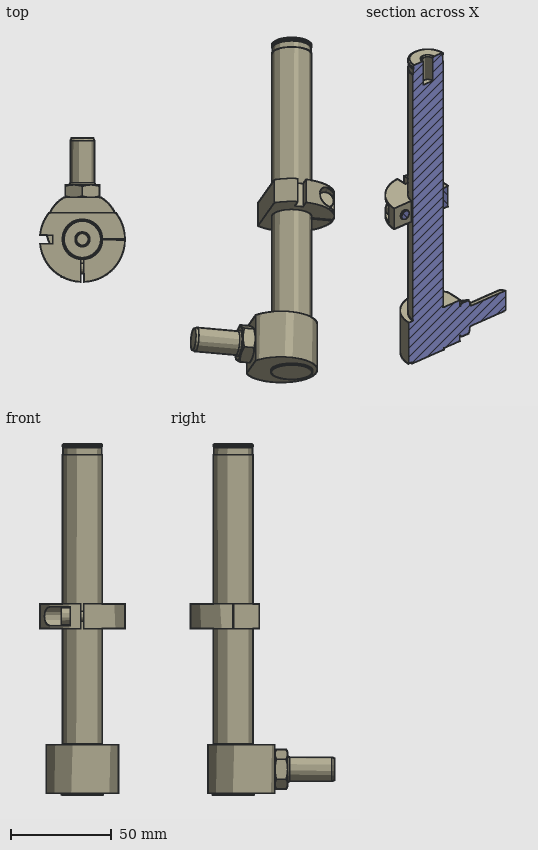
import cadquery as cq
import math

TOTAL_HEIGHT = 174.9
SHAFT_DIAMETER = 20.0
SHAFT_TOP_CHAMFER_HEIGHT = 0.7
SHAFT_TOP_CHAMFER_WIDTH = 0.9
SHAFT_NECK_DIAMETER = 19.6
SHAFT_NECK_HEIGHT = 0.5
GROOVE_DIAMETER = 18.9
GROOVE_TOP = TOTAL_HEIGHT - 1.4
GROOVE_BOTTOM = TOTAL_HEIGHT - 2.1
BAND_DIAMETER = 19.5
BAND_BOTTOM = TOTAL_HEIGHT - 5.5
TOP_HOLE_DIAMETER = 6.0
TOP_HOLE_MOUTH_DIAMETER = 7.3
TOP_HOLE_MOUTH_ANGLE = 90
TOP_HOLE_DEPTH = 14.0

FOOT_DIAMETER = 36.0
FOOT_CENTER_Y = 5.5
FOOT_FLAT_Y = 20.8
PAD_DIAMETER = 21.0
PAD_HEIGHT = 0.9
PAD_CHAMFER = 0.3
FOOT_HEIGHT = 24.3
FOOT_TOP = PAD_HEIGHT + FOOT_HEIGHT

COLLAR_DIAMETER = 42.5
COLLAR_HEIGHT = 12.2
COLLAR_BOTTOM = 82.9
COLLAR_MIDDLE = COLLAR_BOTTOM + COLLAR_HEIGHT / 2
COLLAR_FLAT_Y = 13.1
CLAMP_GAP = 1.5
HINGE_SLIT = 0.5
NOTCH_WIDTH = 4.2
NOTCH_FLOOR_X = -14.9
SCREW_Y = -14.5
SCREW_DIAMETER = 5.0
SCREW_HEAD_DIAMETER = 8.5
SCREW_HEAD_HEIGHT = 4.5
SCREW_SEAT_X = -6.0
SCREW_TIP_X = 6.0
SCREW_POCKET_WIDTH = 9.5

STUD_DIAMETER = 12.0
STUD_CHAMFER = 1.4
STUD_CHAMFER_DEPTH = 0.5
TOTAL_DEPTH = 71.7
STUD_END_Y = TOTAL_DEPTH - COLLAR_DIAMETER / 2
STUD_Z = 13.0
HEX_ACROSS_FLATS = 17.1
HEX_CORNERS = HEX_ACROSS_FLATS / math.cos(math.pi / 6)
HEX_LENGTH = 6.3
HEX_END_Y = FOOT_FLAT_Y + HEX_LENGTH
HEX_BEVEL_LENGTH = 0.7
HEX_BEVEL_DEPTH = 1.4
STUD_ROOT_LENGTH = 1.0
STUD_ROOT_FLARE = 0.5


def cylinder(diameter, bottom, top):
    """Vertical cylinder on the shaft axis."""
    return cq.Workplane("XY").workplane(offset=bottom).circle(diameter / 2).extrude(top - bottom)


def ring_cut(inner_diameter, bottom, top):
    """Ring that turns the shaft down to inner_diameter between two heights."""
    return cylinder(2 * SHAFT_DIAMETER, bottom, top).cut(cylinder(inner_diameter, bottom, top))


def y_plane(y):
    """Plane facing +Y, centred on the stud axis."""
    return cq.Workplane(cq.Plane((0, y, STUD_Z), xDir=(-1, 0, 0), normal=(0, 1, 0)))


def x_cylinder(diameter, start, end):
    """Cylinder along X on the clamp screw axis."""
    plane = cq.Plane((start, SCREW_Y, COLLAR_MIDDLE), xDir=(0, 1, 0), normal=(1, 0, 0))
    return cq.Workplane(plane).circle(diameter / 2).extrude(end - start)


def block(x_min, x_max, y_min, y_max, z_min, z_max):
    """Box given by its limits."""
    size = (x_max - x_min, y_max - y_min, z_max - z_min)
    return cq.Workplane("XY").box(*size, centered=False).translate((x_min, y_min, z_min))


def make_shaft():
    """Shaft with its top groove, reduced band, neck and end hole."""
    shaft = cylinder(SHAFT_DIAMETER, FOOT_TOP, TOTAL_HEIGHT)
    shaft = shaft.faces(">Z").chamfer(SHAFT_TOP_CHAMFER_HEIGHT, SHAFT_TOP_CHAMFER_WIDTH)
    shaft = shaft.cut(ring_cut(SHAFT_NECK_DIAMETER, FOOT_TOP, FOOT_TOP + SHAFT_NECK_HEIGHT))
    shaft = shaft.cut(ring_cut(GROOVE_DIAMETER, GROOVE_BOTTOM, GROOVE_TOP))
    shaft = shaft.cut(ring_cut(BAND_DIAMETER, BAND_BOTTOM, GROOVE_BOTTOM))
    return shaft.faces(">Z").workplane().cskHole(
        TOP_HOLE_DIAMETER, TOP_HOLE_MOUTH_DIAMETER, TOP_HOLE_MOUTH_ANGLE, TOP_HOLE_DEPTH)


def make_foot():
    """Eccentric round foot with a flat on +Y and a low pad underneath."""
    foot = cylinder(FOOT_DIAMETER, PAD_HEIGHT, FOOT_TOP).translate((0, FOOT_CENTER_Y, 0))
    beyond_flat = block(-FOOT_DIAMETER, FOOT_DIAMETER, FOOT_FLAT_Y, FOOT_FLAT_Y + FOOT_DIAMETER,
                        0, TOTAL_HEIGHT)
    pad = cylinder(PAD_DIAMETER, 0, PAD_HEIGHT).faces("<Z").chamfer(PAD_CHAMFER)
    return foot.cut(beyond_flat).union(pad)


def make_stud():
    """Side stud flared onto a hexagon whose corners are bevelled at both ends."""
    hexagon = y_plane(FOOT_FLAT_Y).transformed(rotate=(0, 0, 30)).polygon(6, HEX_CORNERS)
    hexagon = hexagon.extrude(HEX_LENGTH)
    bevel = y_plane(FOOT_FLAT_Y).circle(HEX_CORNERS / 2).extrude(HEX_LENGTH)
    bevel = bevel.faces("<Y").chamfer(HEX_BEVEL_LENGTH, HEX_BEVEL_DEPTH)
    bevel = bevel.faces(">Y").chamfer(HEX_BEVEL_LENGTH, HEX_BEVEL_DEPTH)
    stud = y_plane(FOOT_FLAT_Y).circle(STUD_DIAMETER / 2).extrude(STUD_END_Y - FOOT_FLAT_Y)
    stud = stud.faces(">Y").chamfer(STUD_CHAMFER, STUD_CHAMFER_DEPTH)
    root = y_plane(HEX_END_Y).circle(STUD_DIAMETER / 2 + STUD_ROOT_FLARE)
    root = root.workplane(offset=STUD_ROOT_LENGTH).circle(STUD_DIAMETER / 2).loft(ruled=True)
    return hexagon.intersect(bevel).union(root).union(stud)


def make_post():
    """Foot, shaft and stud as one solid."""
    return make_foot().union(make_shaft()).union(make_stud())


def make_collar():
    """Slit clamping collar joined by its cross screw."""
    top = COLLAR_BOTTOM + COLLAR_HEIGHT
    reach = COLLAR_DIAMETER
    collar = cylinder(COLLAR_DIAMETER, COLLAR_BOTTOM, top)
    collar = collar.cut(block(-reach, reach, COLLAR_FLAT_Y, reach, COLLAR_BOTTOM, top))
    collar = collar.cut(block(-CLAMP_GAP / 2, CLAMP_GAP / 2, -reach, 0, COLLAR_BOTTOM, top))
    collar = collar.cut(block(0, reach, -HINGE_SLIT / 2, HINGE_SLIT / 2, COLLAR_BOTTOM, top))
    collar = collar.cut(block(-reach, NOTCH_FLOOR_X, -NOTCH_WIDTH / 2, NOTCH_WIDTH / 2,
                              COLLAR_BOTTOM, top))
    half_pocket = SCREW_POCKET_WIDTH / 2
    collar = collar.cut(x_cylinder(SCREW_POCKET_WIDTH, -reach, SCREW_SEAT_X))
    collar = collar.cut(block(-reach, SCREW_SEAT_X, -reach, SCREW_Y,
                              COLLAR_MIDDLE - half_pocket, COLLAR_MIDDLE + half_pocket))
    head = x_cylinder(SCREW_HEAD_DIAMETER, SCREW_SEAT_X - SCREW_HEAD_HEIGHT, SCREW_SEAT_X)
    shank = x_cylinder(SCREW_DIAMETER, SCREW_SEAT_X, SCREW_TIP_X)
    collar = collar.union(head).union(shank)
    return collar.cut(cylinder(SHAFT_DIAMETER, COLLAR_BOTTOM, top))


post = make_post()
collar = make_collar()
result = cq.Compound.makeCompound([post.solids().val(), collar.solids().val()])